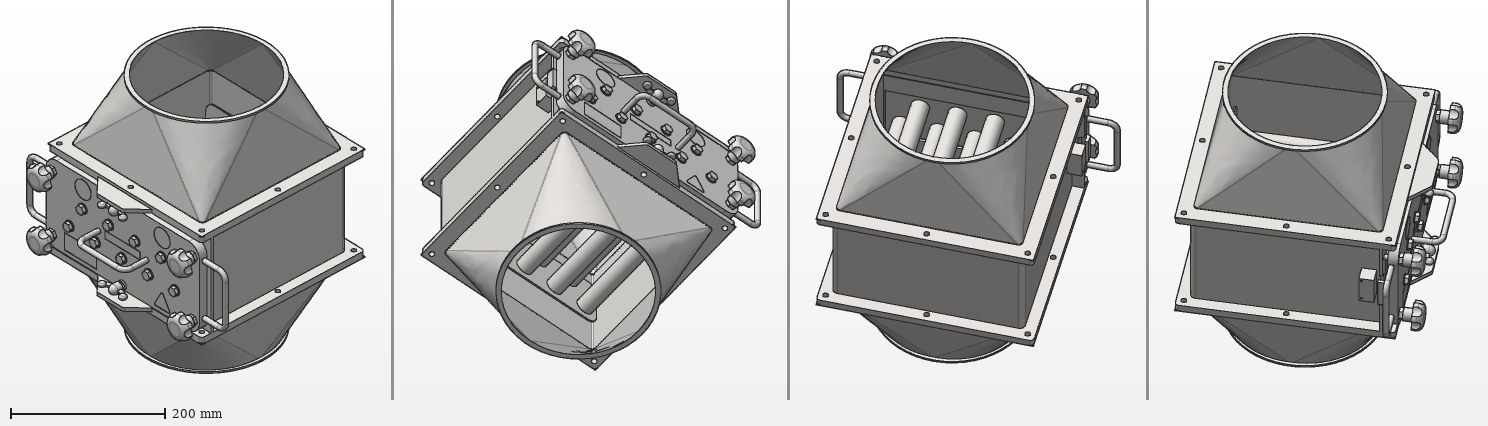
import cadquery as cq
import math

TOTAL_HEIGHT = 398.0
TOTAL_WIDTH = 378.0
TOTAL_DEPTH = 337.0

FLANGE_SIDE = 290.0
FLANGE_TOP_Z = 85.5
FLANGE_BOTTOM_Z = 75.0
FLANGE_CORNER_RADIUS = 5.0
FLANGE_HOLE_DIAMETER = 7.0
FLANGE_HOLE_PITCH = 135.0
HOUSING_SIDE = 257.0
WALL_THICKNESS = 5.5
HOUSING_CORNER_RADIUS = 7.5
FRAME_THICKNESS = 4.5
FRAME_OPENING_WIDTH = 242.8
FRAME_OPENING_HEIGHT = 86.8
FRAME_NOTCH_DEPTH = 8.8
FRAME_NOTCH_HEIGHT = 44.5
FRAME_NOTCH_CHAMFER = 4.5

TAB_THICKNESS = 6.0
TAB_TIP_Y = -172.0
TAB_HALF_TIP = 24.3
TAB_CORNER_RADIUS = 6.0

SHEET_THICKNESS = 1.5
HOOD_BASE_SIDE = 249.0
HOOD_BASE_RADIUS = 5.5
HOOD_MOUTH_DIAMETER = 202.5
HOOD_MOUTH_FLAT = 0.5
RIM_DIAMETER = 213.7
RIM_THICKNESS = 2.8

DOOR_FRONT_Y = -149.0
DOOR_BACK_Y = -135.0
DOOR_WIDTH = 290.0
DOOR_HEIGHT = 139.5
DOOR_CORNER_RADIUS = 20.0
SEAL_WIDTH = 254.7
SEAL_HEIGHT = 91.5
SEAL_THICKNESS = 2.5
SEAL_FRONT_Y = -133.7
PAD_WIDTH = 246.8
PAD_HEIGHT = 89.0

TUBE_DIAMETER = 25.0
TUBE_PITCH = 50.0
TUBE_ROW_Z = 20.0
UPPER_TUBES = 4
LOWER_TUBES = 5
END_PLATE_FRONT_Y = 111.5
END_PLATE_THICKNESS = 2.0
END_PLATE_WIDTH = 240.5
END_PLATE_HEIGHT = 85.0
END_PLATE_CORNER_RADIUS = 16.0
BOLT_CORNERS = 14.5
BOLT_HEIGHT = 6.5
BOLT_WASHER_DIAMETER = 16.0
BOLT_WASHER_THICKNESS = 1.0

HANDLE_DIAMETER = 8.0
HANDLE_HALF_SPAN = 45.5
HANDLE_BEND_RADIUS = 12.0
SIDE_HANDLE_Y = -140.0

KNOB_X = 133.0
KNOB_Z = 50.0
STUD_DIAMETER = 8.0
KNOB_NUT_CORNERS = 16.7
KNOB_NECK_Y = -154.0
KNOB_NECK_DIAMETER = 18.0
KNOB_HEAD_Y = -167.0
KNOB_CROWN_Y = -173.5
KNOB_FACE_Y = -181.5
KNOB_DIAMETER = 39.8
KNOB_FACE_DIAMETER = 20.0
KNOB_ARC_RADIUS = 16.7
KNOB_ARC_Y = -179.0
KNOB_LOBES = 6
KNOB_SCALLOP_DIAMETER = 18.0
KNOB_SCALLOP_CENTER = 25.0

WING_NUT_Z = 62.5
WING_WASHER_DIAMETER = 14.0
WING_WASHER_THICKNESS = 3.0
WING_STUD_DIAMETER = 6.8
WING_HUB_Y = -155.2
WING_HUB_DIAMETER = 15.0
WING_HUB_LENGTH = 8.8
WING_SPAN = 51.0
WING_TIP_DIAMETER = 11.5
WING_TIP_Y = -167.0
WING_THICKNESS = 3.0
WING_TIP_THICKNESS = 6.0
WING_TIP_ROUNDING = 2.5

LABEL_THICKNESS = 0.5
ROUND_LABEL_DIAMETER = 30.2
ROUND_LABEL_X = 75.0
ROUND_LABEL_Z = 49.8
NAME_PLATE_WIDTH = 60.5
NAME_PLATE_HEIGHT = 27.0
NAME_PLATE_X = -79.5
NAME_PLATE_Z = -49.5
HANDLE_LABEL_WIDTH = 67.0
HANDLE_LABEL_HEIGHT = 12.7
WARNING_LABEL_X = 75.0
WARNING_LABEL_BASE_Z = -63.0
WARNING_LABEL_HALF_WIDTH = 16.0
WARNING_LABEL_HEIGHT = 28.0
WARNING_LABEL_RADIUS = 2.5

SWITCH_HEIGHT = 40.0
SWITCH_OUTER_X = -148.5
SWITCH_FRONT_Y = -118.0
SWITCH_BACK_Y = -98.0
SWITCH_HOLE_DIAMETER = 2.45
SWITCH_HOLE_DEPTH = 4.0
SWITCH_HOLE_PITCH = 31.5
SWITCH_HOLE_Y = -101.0
ACTUATOR_OUTER_X = -151.0
ACTUATOR_INNER_X = -146.0
ACTUATOR_FOOT_X = -139.3
ACTUATOR_FOOT_THICKNESS = 2.5
ACTUATOR_BACK_Y = -123.0

HALF_FLANGE = FLANGE_SIDE / 2
HALF_HOUSING = HOUSING_SIDE / 2
PLATE_BOTTOM_Z = FLANGE_TOP_Z - SHEET_THICKNESS
FRAME_FRONT_Y = -HALF_HOUSING
FRAME_BACK_Y = FRAME_FRONT_Y + FRAME_THICKNESS
HANDLE_FRONT_Y = HALF_FLANGE - TOTAL_DEPTH


def box_between(x0, x1, y0, y1, z0, z1):
    """Box spanning the given coordinates."""
    return cq.Workplane("XY").box(x1 - x0, y1 - y0, z1 - z0, centered=False).translate((x0, y0, z0))


def plane_at(y):
    """Workplane at the given Y, with local x along X, local y along Z and its normal along -Y."""
    return cq.Workplane("XZ", origin=(0, y, 0))


def plate_between(front_y, back_y, width, height, corner_radius):
    """Upright plate centred on X and Z, with rounded corners."""
    plate = plane_at(back_y).rect(width, height).extrude(back_y - front_y)
    return plate.edges("|Y").fillet(corner_radius)


def mirrored_below(shape):
    """Copy of a shape mirrored to the other side of the plane Z = 0."""
    return shape.mirror("XY")


def rounded_square(half_side, corner_radius, z):
    """Closed outline of a square with rounded corners at height z."""
    flat = half_side - corner_radius
    mid = flat + corner_radius * math.sqrt(0.5)
    return (
        cq.Workplane("XY", origin=(0, 0, z))
        .moveTo(-flat, -half_side)
        .lineTo(flat, -half_side)
        .threePointArc((mid, -mid), (half_side, -flat))
        .lineTo(half_side, flat)
        .threePointArc((mid, mid), (flat, half_side))
        .lineTo(-flat, half_side)
        .threePointArc((-mid, mid), (-half_side, flat))
        .lineTo(-half_side, -flat)
        .threePointArc((-mid, -mid), (-flat, -half_side))
        .close()
        .val()
    )


def hood_volume(inset):
    """Square-to-round solid, drawn in by inset from the outside of the sheet."""
    base_half = HOOD_BASE_SIDE / 2 - inset
    mouth_half = HOOD_MOUTH_DIAMETER / 2 - inset
    base = rounded_square(base_half, HOOD_BASE_RADIUS - inset, FLANGE_TOP_Z)
    mouth = rounded_square(mouth_half, mouth_half - HOOD_MOUTH_FLAT, TOTAL_HEIGHT / 2)
    return cq.Workplane(cq.Solid.makeLoft([base, mouth], True))


def make_upper_transition():
    """Sheet hood that stands on the flange plate and ends in a round rim."""
    rim = (
        cq.Workplane("XY", origin=(0, 0, TOTAL_HEIGHT / 2 - RIM_THICKNESS))
        .circle(RIM_DIAMETER / 2)
        .extrude(RIM_THICKNESS)
    )
    return hood_volume(0).union(rim).cut(hood_volume(SHEET_THICKNESS))


def flange_hole_points():
    """Corner and mid-side hole positions round the flange."""
    steps = (-FLANGE_HOLE_PITCH, 0, FLANGE_HOLE_PITCH)
    return [(x, y) for x in steps for y in steps if (x, y) != (0, 0)]


def make_upper_flange():
    """Flange bar with rounded corners under a sharp-cornered plate, with its tab and holes."""
    bar = (
        cq.Workplane("XY", origin=(0, 0, FLANGE_BOTTOM_Z))
        .rect(FLANGE_SIDE, FLANGE_SIDE)
        .extrude(PLATE_BOTTOM_Z - FLANGE_BOTTOM_Z)
        .edges("|Z")
        .fillet(FLANGE_CORNER_RADIUS)
    )
    plate = (
        cq.Workplane("XY", origin=(0, 0, PLATE_BOTTOM_Z))
        .rect(FLANGE_SIDE, FLANGE_SIDE)
        .extrude(SHEET_THICKNESS)
    )
    holes = (
        cq.Workplane("XY", origin=(0, 0, FLANGE_BOTTOM_Z))
        .pushPoints(flange_hole_points())
        .circle(FLANGE_HOLE_DIAMETER / 2)
        .extrude(FLANGE_TOP_Z - FLANGE_BOTTOM_Z)
    )
    return bar.union(plate).union(make_upper_tab()).cut(holes)


def make_upper_tab():
    """Tab with 45 degree sides that stands out from the front edge of the flange."""
    half_base = TAB_HALF_TIP - HALF_FLANGE - TAB_TIP_Y
    tab = (
        cq.Workplane("XY", origin=(0, 0, FLANGE_BOTTOM_Z))
        .polyline([
            (-half_base, -HALF_FLANGE),
            (-TAB_HALF_TIP, TAB_TIP_Y),
            (TAB_HALF_TIP, TAB_TIP_Y),
            (half_base, -HALF_FLANGE),
        ])
        .close()
        .extrude(TAB_THICKNESS)
    )
    return tab.edges("|Z and (<Y)").fillet(TAB_CORNER_RADIUS)


def make_front_frame():
    """Frame across the open front, with a notch for the switch actuator in its -X edge."""
    half_width = FLANGE_SIDE / 2
    frame = box_between(
        -half_width, half_width, FRAME_FRONT_Y, FRAME_BACK_Y, -FLANGE_BOTTOM_Z, FLANGE_BOTTOM_Z
    )
    opening = plane_at(FRAME_BACK_Y).rect(FRAME_OPENING_WIDTH, FRAME_OPENING_HEIGHT).extrude(FRAME_THICKNESS)
    half_notch = FRAME_NOTCH_HEIGHT / 2
    half_mouth = half_notch + FRAME_NOTCH_CHAMFER
    notch_bottom_x = FRAME_NOTCH_DEPTH - half_width
    notch = (
        plane_at(FRAME_BACK_Y)
        .polyline([
            (-half_width, -half_mouth),
            (notch_bottom_x, -half_notch),
            (notch_bottom_x, half_notch),
            (-half_width, half_mouth),
        ])
        .close()
        .extrude(FRAME_THICKNESS)
    )
    return frame.cut(opening).cut(notch)


def make_housing():
    """Square duct with two flanges and an open front that is framed for the drawer."""
    flange = make_upper_flange()
    walls = cq.Workplane("XY").box(HOUSING_SIDE, HOUSING_SIDE, 2 * FLANGE_BOTTOM_Z)
    walls = walls.edges("|Z and >Y").fillet(HOUSING_CORNER_RADIUS)

    inner_side = HOUSING_SIDE - 2 * WALL_THICKNESS
    passage = cq.Workplane("XY").box(inner_side, inner_side, 2 * PLATE_BOTTOM_Z)
    passage = passage.edges("|Z and >Y").fillet(HOUSING_CORNER_RADIUS - WALL_THICKNESS)
    front_gap = box_between(
        -inner_side / 2, inner_side / 2, -HALF_HOUSING, -inner_side / 2, -FLANGE_BOTTOM_Z, FLANGE_BOTTOM_Z
    )
    plate_opening_side = HOOD_BASE_SIDE - 2 * SHEET_THICKNESS
    plate_openings = cq.Workplane("XY").box(plate_opening_side, plate_opening_side, 2 * FLANGE_TOP_Z)
    plate_openings = plate_openings.edges("|Z").fillet(HOOD_BASE_RADIUS - SHEET_THICKNESS)
    plate_openings = plate_openings.cut(cq.Workplane("XY").box(FLANGE_SIDE, FLANGE_SIDE, 2 * PLATE_BOTTOM_Z))

    shell = walls.union(flange).union(mirrored_below(flange))
    shell = shell.cut(passage).cut(front_gap).cut(plate_openings)
    return shell.union(make_front_frame())


def tube_points():
    """Tube axes: the upper row sits over the gaps of the lower row."""
    points = []
    for count, z in ((UPPER_TUBES, TUBE_ROW_Z), (LOWER_TUBES, -TUBE_ROW_Z)):
        for index in range(count):
            points.append(((index - (count - 1) / 2) * TUBE_PITCH, z))
    return points


def make_door():
    """Door plate with the pad behind it that carries the wider seal."""
    door = plate_between(DOOR_FRONT_Y, DOOR_BACK_Y, DOOR_WIDTH, DOOR_HEIGHT, DOOR_CORNER_RADIUS)
    pad = plane_at(FRAME_FRONT_Y).rect(PAD_WIDTH, PAD_HEIGHT).extrude(FRAME_FRONT_Y - DOOR_BACK_Y)
    seal = plane_at(SEAL_FRONT_Y + SEAL_THICKNESS).rect(SEAL_WIDTH, SEAL_HEIGHT).extrude(SEAL_THICKNESS)
    return door.union(pad).union(seal)


def make_tubes():
    """Magnet tubes held by an end plate."""
    tubes = (
        plane_at(END_PLATE_FRONT_Y)
        .pushPoints(tube_points())
        .circle(TUBE_DIAMETER / 2)
        .extrude(END_PLATE_FRONT_Y - DOOR_BACK_Y)
    )
    end_plate = plate_between(
        END_PLATE_FRONT_Y,
        END_PLATE_FRONT_Y + END_PLATE_THICKNESS,
        END_PLATE_WIDTH,
        END_PLATE_HEIGHT,
        END_PLATE_CORNER_RADIUS,
    )
    return tubes.union(end_plate)


def make_bolts():
    """Hexagon bolt head and washer on the door for every tube."""
    washers = (
        plane_at(DOOR_FRONT_Y)
        .pushPoints(tube_points())
        .circle(BOLT_WASHER_DIAMETER / 2)
        .extrude(BOLT_WASHER_THICKNESS)
    )
    heads = plane_at(DOOR_FRONT_Y).pushPoints(tube_points()).polygon(6, BOLT_CORNERS).extrude(BOLT_HEIGHT)
    return washers.union(heads)


def make_handle(reach):
    """U-shaped handle in the XY plane: its feet lie on Y = 0 and its bar reaches out to -Y."""
    bar_y = HANDLE_DIAMETER / 2 - reach
    bend_y = bar_y + HANDLE_BEND_RADIUS
    bend_x = HANDLE_HALF_SPAN - HANDLE_BEND_RADIUS
    mid_x = bend_x + HANDLE_BEND_RADIUS * math.sqrt(0.5)
    mid_y = bend_y - HANDLE_BEND_RADIUS * math.sqrt(0.5)
    path = (
        cq.Workplane("XY")
        .moveTo(-HANDLE_HALF_SPAN, 0)
        .lineTo(-HANDLE_HALF_SPAN, bend_y)
        .threePointArc((-mid_x, mid_y), (-bend_x, bar_y))
        .lineTo(bend_x, bar_y)
        .threePointArc((mid_x, mid_y), (HANDLE_HALF_SPAN, bend_y))
        .lineTo(HANDLE_HALF_SPAN, 0)
    )
    foot = cq.Workplane("XZ", origin=(-HANDLE_HALF_SPAN, 0, 0)).circle(HANDLE_DIAMETER / 2)
    return foot.sweep(path)


def make_handles():
    """Front handle and the two side handles of the door."""
    front = make_handle(DOOR_FRONT_Y - HANDLE_FRONT_Y).translate((0, DOOR_FRONT_Y, 0))
    right = (
        make_handle((TOTAL_WIDTH - DOOR_WIDTH) / 2)
        .rotate((0, 0, 0), (0, 1, 0), 90)
        .rotate((0, 0, 0), (0, 0, 1), 90)
        .translate((DOOR_WIDTH / 2, SIDE_HANDLE_Y, 0))
    )
    return [front, right, right.mirror("YZ")]


def make_knob():
    """Star knob with its neck, nut and stud, on the Y axis."""
    stud = plane_at(FRAME_FRONT_Y).circle(STUD_DIAMETER / 2).extrude(FRAME_FRONT_Y - KNOB_NECK_Y)
    nut = plane_at(DOOR_FRONT_Y).polygon(6, KNOB_NUT_CORNERS).extrude(DOOR_FRONT_Y - KNOB_NECK_Y)
    neck = plane_at(KNOB_NECK_Y).circle(KNOB_NECK_DIAMETER / 2).extrude(KNOB_NECK_Y - KNOB_HEAD_Y)
    head = (
        cq.Workplane("XY")
        .moveTo(0, KNOB_HEAD_Y)
        .lineTo(KNOB_DIAMETER / 2, KNOB_HEAD_Y)
        .lineTo(KNOB_DIAMETER / 2, KNOB_CROWN_Y)
        .threePointArc((KNOB_ARC_RADIUS, KNOB_ARC_Y), (KNOB_FACE_DIAMETER / 2, KNOB_FACE_Y))
        .lineTo(0, KNOB_FACE_Y)
        .close()
        .revolve(360, (0, 0, 0), (0, 1, 0))
    )
    scallops = (
        plane_at(KNOB_HEAD_Y)
        .polarArray(KNOB_SCALLOP_CENTER, 0, 360, KNOB_LOBES)
        .circle(KNOB_SCALLOP_DIAMETER / 2)
        .extrude(KNOB_HEAD_Y - KNOB_FACE_Y)
    )
    return stud.union(nut).union(neck).union(head.cut(scallops))


def make_knobs():
    """One knob near each corner of the door."""
    knob = make_knob()
    return [knob.translate((x, 0, z)) for x in (-KNOB_X, KNOB_X) for z in (-KNOB_Z, KNOB_Z)]


def make_wing_nut():
    """Wing nut with washer and stud, on the Y axis."""
    washer = plane_at(DOOR_FRONT_Y).circle(WING_WASHER_DIAMETER / 2).extrude(WING_WASHER_THICKNESS)
    stud = plane_at(DOOR_FRONT_Y).circle(WING_STUD_DIAMETER / 2).extrude(DOOR_FRONT_Y - WING_HUB_Y)
    hub = plane_at(WING_HUB_Y).circle(WING_HUB_DIAMETER / 2).extrude(WING_HUB_LENGTH)
    dome = cq.Workplane("XY").sphere(WING_HUB_DIAMETER / 2).translate((0, WING_HUB_Y - WING_HUB_LENGTH, 0))
    nut = washer.union(stud).union(hub).union(dome)
    tip_x = (WING_SPAN - WING_TIP_DIAMETER) / 2
    for side in (-1, 1):
        arm = (
            cq.Workplane("XY")
            .polyline([
                (0, WING_HUB_Y),
                (side * tip_x, WING_TIP_Y + WING_TIP_DIAMETER / 2),
                (side * tip_x, WING_TIP_Y),
                (0, WING_HUB_Y - WING_HUB_LENGTH),
            ])
            .close()
            .extrude(WING_THICKNESS / 2, both=True)
        )
        tip = (
            cq.Workplane("XY", origin=(side * tip_x, WING_TIP_Y, 0))
            .circle(WING_TIP_DIAMETER / 2)
            .extrude(WING_TIP_THICKNESS / 2, both=True)
            .edges()
            .fillet(WING_TIP_ROUNDING)
        )
        nut = nut.union(arm).union(tip)
    return nut


def make_labels():
    """Thin raised labels on the front of the door."""
    front = plane_at(DOOR_FRONT_Y)
    rounds = (
        front.pushPoints([(-ROUND_LABEL_X, ROUND_LABEL_Z), (ROUND_LABEL_X, ROUND_LABEL_Z)])
        .circle(ROUND_LABEL_DIAMETER / 2)
        .extrude(LABEL_THICKNESS)
    )
    name_plate = (
        plane_at(DOOR_FRONT_Y)
        .center(NAME_PLATE_X, NAME_PLATE_Z)
        .rect(NAME_PLATE_WIDTH, NAME_PLATE_HEIGHT)
        .extrude(LABEL_THICKNESS)
    )
    handle_label = (
        plane_at(DOOR_FRONT_Y).rect(HANDLE_LABEL_WIDTH, HANDLE_LABEL_HEIGHT).extrude(LABEL_THICKNESS)
    )
    warning = (
        plane_at(DOOR_FRONT_Y)
        .center(WARNING_LABEL_X, WARNING_LABEL_BASE_Z)
        .polyline([
            (-WARNING_LABEL_HALF_WIDTH, 0),
            (WARNING_LABEL_HALF_WIDTH, 0),
            (0, WARNING_LABEL_HEIGHT),
        ])
        .close()
        .extrude(LABEL_THICKNESS)
        .edges("|Y")
        .fillet(WARNING_LABEL_RADIUS)
    )
    return [rounds, name_plate, handle_label, warning]


def make_actuator():
    """Angle behind the door edge that meets the switch."""
    half_height = SWITCH_HEIGHT / 2
    leg = box_between(
        ACTUATOR_OUTER_X, ACTUATOR_INNER_X, DOOR_BACK_Y, ACTUATOR_BACK_Y, -half_height, half_height
    )
    foot = box_between(
        ACTUATOR_OUTER_X,
        ACTUATOR_FOOT_X,
        DOOR_BACK_Y,
        DOOR_BACK_Y + ACTUATOR_FOOT_THICKNESS,
        -half_height,
        half_height,
    )
    return leg.union(foot)


def make_drawer():
    """Door with everything that is fixed to it."""
    wing_nut = make_wing_nut()
    fittings = [make_tubes(), make_bolts(), make_actuator()]
    fittings += make_handles() + make_knobs() + make_labels()
    fittings += [wing_nut.translate((0, 0, z)) for z in (-WING_NUT_Z, WING_NUT_Z)]
    drawer = make_door()
    for fitting in fittings:
        drawer = drawer.union(fitting)
    return drawer


def make_switch():
    """Switch box on the -X wall of the housing, with two small fixing holes."""
    half_height = SWITCH_HEIGHT / 2
    body = box_between(
        SWITCH_OUTER_X, -HALF_HOUSING, SWITCH_FRONT_Y, SWITCH_BACK_Y, -half_height, half_height
    )
    holes = (
        cq.Workplane("YZ", origin=(SWITCH_OUTER_X, 0, 0))
        .pushPoints([(SWITCH_HOLE_Y, -SWITCH_HOLE_PITCH / 2), (SWITCH_HOLE_Y, SWITCH_HOLE_PITCH / 2)])
        .circle(SWITCH_HOLE_DIAMETER / 2)
        .extrude(SWITCH_HOLE_DEPTH)
    )
    return body.cut(holes)


housing = make_housing()
drawer = make_drawer()
switch = make_switch()
upper_transition = make_upper_transition()
transitions = [upper_transition, mirrored_below(upper_transition)]

result = cq.Compound.makeCompound(
    [housing.val(), drawer.val(), switch.val(), *[transition.val() for transition in transitions]]
)